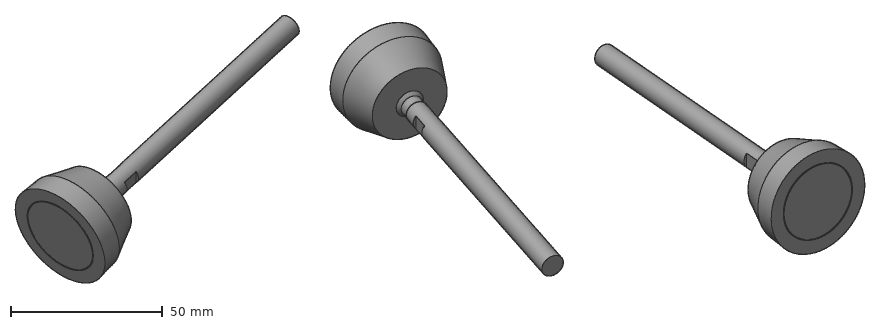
import cadquery as cq
import math

total_length = 120.0

base_diameter = 38.0
shoulder_diameter = 37.2
crown_diameter = 28.0
shoulder_height = 8.0
foot_height = 20.0

groove_outer_diameter = 28.0
groove_inner_diameter = 27.5
groove_depth = 0.5

rod_diameter = 8.0
neck_diameter = 7.8
neck_start = 21.4
neck_end = 25.0

ball_diameter = 12.0

flat_start = 30.0
flat_length = 6.0
across_flats = 6.0

ball_radius = ball_diameter / 2
neck_radius = neck_diameter / 2
ball_center = neck_start - math.sqrt(ball_radius**2 - neck_radius**2)


def cylinder_along_y(diameter, start, end):
    """Cylinder on the Y axis between two Y positions."""
    return cq.Workplane("XZ", origin=(0, start, 0)).circle(diameter / 2).extrude(start - end)


def make_ball():
    """Ball joint shape, used for the stud's end and for its socket."""
    return cq.Workplane("XZ", origin=(0, ball_center, 0)).sphere(ball_radius)


def make_foot():
    """Tapered foot with a ball socket and a narrow ring groove in its ground face."""
    foot = (
        cq.Workplane("YZ")
        .polyline([
            (0, 0),
            (0, base_diameter / 2),
            (shoulder_height, shoulder_diameter / 2),
            (foot_height, crown_diameter / 2),
            (foot_height, 0),
        ])
        .close()
        .revolve(360, (0, 0, 0), (1, 0, 0))
    )
    groove = cylinder_along_y(groove_outer_diameter, 0, groove_depth).cut(
        cylinder_along_y(groove_inner_diameter, 0, groove_depth)
    )
    return foot.cut(groove).cut(make_ball())


def make_stud():
    """Rod with a reduced neck, a ball end and two opposite wrench flats."""
    neck = cylinder_along_y(neck_diameter, ball_center, neck_end)
    rod = cylinder_along_y(rod_diameter, neck_end, total_length)
    stud = make_ball().union(neck).union(rod)

    flat_middle = flat_start + flat_length / 2
    for side in (-1, 1):
        cutter_middle = side * (across_flats + rod_diameter) / 2
        cutter = cq.Workplane("XY").box(rod_diameter, flat_length, rod_diameter)
        stud = stud.cut(cutter.translate((cutter_middle, flat_middle, 0)))
    return stud


foot = make_foot()
stud = make_stud()
result = cq.Compound.makeCompound([foot.val(), stud.val()])